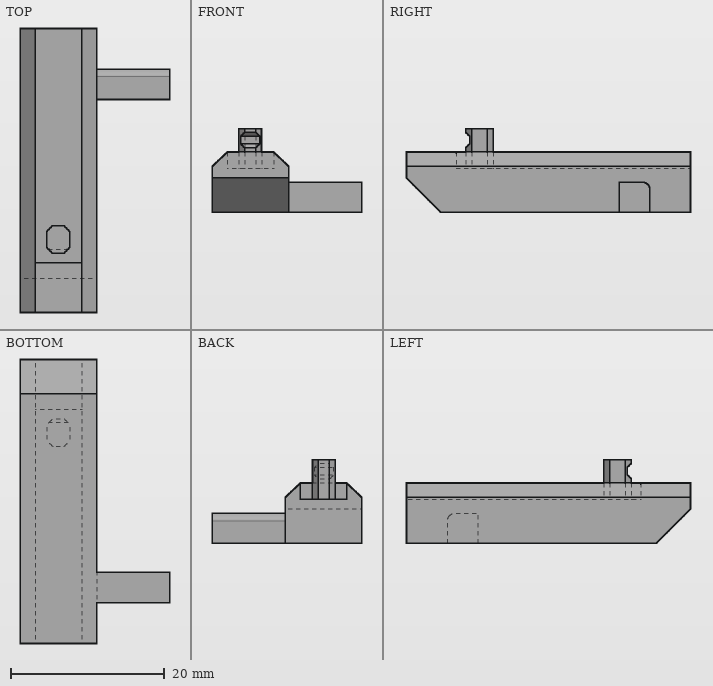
import cadquery as cq

body_length = 37.0
body_width = 10.0
body_height = 7.88
bevel_width = 2.0
bevel_height = 1.9
nose_cut = 4.48

channel_start = 6.5
channel_depth = 2.1
channel_width = body_width - 2 * bevel_width
channel_floor = body_height - channel_depth

overall_height = 10.9
post_width = 3.0
post_length = 3.63
post_corner = 0.78
post_center_x = 4.95
post_center_y = 9.5

notch_depth = 0.5
notch_lip = 0.48
notch_slope = 0.5
notch_height = 2.05

arm_end = 19.5
arm_front = 27.7
arm_width = 4.0
arm_height = 3.92
arm_round = 0.95


def make_body():
    section = [
        (0, 0),
        (body_width, 0),
        (body_width, body_height - bevel_height),
        (body_width - bevel_width, body_height),
        (bevel_width, body_height),
        (0, body_height - bevel_height),
    ]
    bar = cq.Workplane("XZ").polyline(section).close().extrude(-body_length)
    nose_corner = [(0, 0), (nose_cut, 0), (0, nose_cut)]
    nose = cq.Workplane("YZ").polyline(nose_corner).close().extrude(body_width)
    channel = cq.Workplane("XY").box(
        channel_width, body_length - channel_start, channel_depth, centered=False
    ).translate((bevel_width, channel_start, channel_floor))
    return bar.cut(nose).cut(channel)


def make_post():
    post = (
        cq.Workplane("XY")
        .workplane(offset=channel_floor)
        .center(post_center_x, post_center_y)
        .rect(post_width, post_length)
        .extrude(overall_height - channel_floor)
        .edges("|Z")
        .chamfer(post_corner)
    )
    front = post_center_y - post_length / 2
    notch_top = overall_height - notch_lip
    notch_bottom = notch_top - notch_height
    profile = [
        (front, notch_top),
        (front + notch_depth, notch_top - notch_slope),
        (front + notch_depth, notch_bottom + notch_slope),
        (front, notch_bottom),
    ]
    notch = cq.Workplane("YZ").polyline(profile).close().extrude(body_width)
    return post.cut(notch)


def make_arm():
    arm = cq.Workplane("XY").box(
        arm_end - body_width, arm_width, arm_height, centered=False
    ).translate((body_width, arm_front, 0))
    return arm.edges("|X and >Y and >Z").fillet(arm_round)


result = make_body().union(make_post()).union(make_arm())